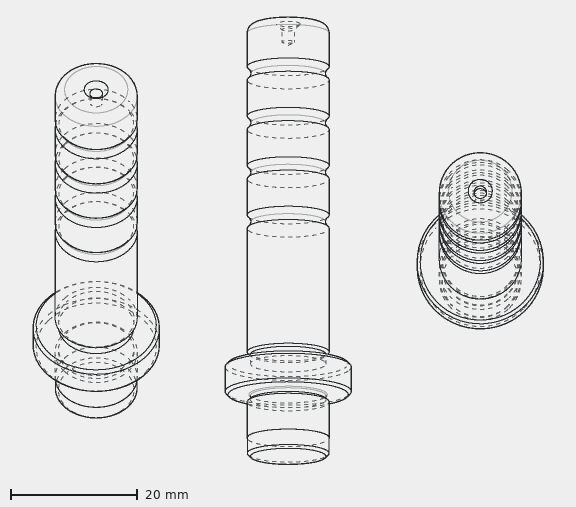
import cadquery as cq
import math

LENGTH = 70.0
SHAFT_RADIUS = 6.5
NECK_RADIUS = 6.0
FLANGE_RADIUS = 10.0

SPIGOT_LENGTH = 10.0
LEAD_IN_LENGTH = 3.0
LEAD_IN_RADIUS = 6.48
END_CHAMFER = 0.5

FLANGE_THICKNESS = 5.0
FLANGE_CHAMFER = 0.5
LOWER_NECK_LENGTH = 0.8
UPPER_NECK_LENGTH = 1.5
NECK_TAPER = 0.4
LOWER_NECK_FILLET = 0.2

TOP_FILLET = 1.5
GROOVE_COUNT = 4
GROOVE_PITCH = 8.0
GROOVE_WIDTH = 2.15
GROOVE_DEPTH = 0.6
GROOVE_ARC_RADIUS = 1.5

COUNTERSINK_RADIUS = 1.9
COUNTERSINK_ANGLE = 90.0
PILOT_RADIUS = 1.0
PILOT_LENGTH = 2.0
DRILL_POINT_ANGLE = 120.0

FLANGE_BOTTOM = SPIGOT_LENGTH
FLANGE_TOP = FLANGE_BOTTOM + FLANGE_THICKNESS


def cone_height(radius_change, included_angle):
    """Axial length of a cone for a change in radius."""
    return radius_change / math.tan(math.radians(included_angle / 2))


def revolve(profile):
    """Turn a closed radius/height profile about the Z axis."""
    return profile.close().revolve(360, (0, 0, 0), (0, 1, 0))


def pin_body():
    """Plain turned pin: spigot, flange, necks and shaft with a rounded top."""
    lower_neck_start = FLANGE_BOTTOM - LOWER_NECK_LENGTH
    upper_neck_end = FLANGE_TOP + UPPER_NECK_LENGTH
    profile = (
        cq.Workplane("XZ")
        .lineTo(LEAD_IN_RADIUS - END_CHAMFER, 0)
        .lineTo(LEAD_IN_RADIUS, END_CHAMFER)
        .lineTo(LEAD_IN_RADIUS, LEAD_IN_LENGTH)
        .lineTo(SHAFT_RADIUS, LEAD_IN_LENGTH)
        .lineTo(SHAFT_RADIUS, lower_neck_start - NECK_TAPER)
        .lineTo(NECK_RADIUS, lower_neck_start)
        .lineTo(NECK_RADIUS, FLANGE_BOTTOM - LOWER_NECK_FILLET)
        .radiusArc((NECK_RADIUS + LOWER_NECK_FILLET, FLANGE_BOTTOM), LOWER_NECK_FILLET)
        .lineTo(FLANGE_RADIUS - FLANGE_CHAMFER, FLANGE_BOTTOM)
        .lineTo(FLANGE_RADIUS, FLANGE_BOTTOM + FLANGE_CHAMFER)
        .lineTo(FLANGE_RADIUS, FLANGE_TOP - FLANGE_CHAMFER)
        .lineTo(FLANGE_RADIUS - FLANGE_CHAMFER, FLANGE_TOP)
        .lineTo(NECK_RADIUS, FLANGE_TOP)
        .lineTo(NECK_RADIUS, upper_neck_end)
        .lineTo(SHAFT_RADIUS, upper_neck_end + NECK_TAPER)
        .lineTo(SHAFT_RADIUS, LENGTH - TOP_FILLET)
        .radiusArc((SHAFT_RADIUS - TOP_FILLET, LENGTH), -TOP_FILLET)
        .lineTo(0, LENGTH)
    )
    return revolve(profile)


def oil_groove(center_height):
    """Ring that cuts one groove, two concave arcs meeting at its root, into the shaft."""
    half_width = GROOVE_WIDTH / 2
    profile = (
        cq.Workplane("XZ")
        .moveTo(SHAFT_RADIUS, center_height - half_width)
        .radiusArc((SHAFT_RADIUS - GROOVE_DEPTH, center_height), GROOVE_ARC_RADIUS)
        .radiusArc((SHAFT_RADIUS, center_height + half_width), GROOVE_ARC_RADIUS)
        .lineTo(FLANGE_RADIUS, center_height + half_width)
        .lineTo(FLANGE_RADIUS, center_height - half_width)
    )
    return revolve(profile)


def center_hole():
    """Countersunk pilot hole with a conical drill point, opening at the top."""
    countersink_bottom = LENGTH - cone_height(COUNTERSINK_RADIUS - PILOT_RADIUS, COUNTERSINK_ANGLE)
    pilot_bottom = countersink_bottom - PILOT_LENGTH
    drill_tip = pilot_bottom - cone_height(PILOT_RADIUS, DRILL_POINT_ANGLE)
    profile = (
        cq.Workplane("XZ")
        .moveTo(0, LENGTH)
        .lineTo(COUNTERSINK_RADIUS, LENGTH)
        .lineTo(PILOT_RADIUS, countersink_bottom)
        .lineTo(PILOT_RADIUS, pilot_bottom)
        .lineTo(0, drill_tip)
    )
    return revolve(profile)


result = pin_body()
for groove_number in range(1, GROOVE_COUNT + 1):
    result = result.cut(oil_groove(LENGTH - groove_number * GROOVE_PITCH))
result = result.cut(center_hole())